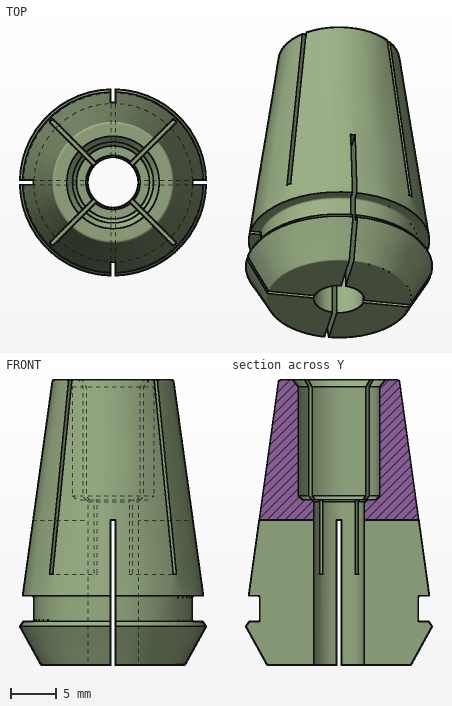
import cadquery as cq

length = 31.5
flange_edge_z = 4.28
flange_top_z = 4.82
groove_top_z = 7.65
shelf_z = 18.27

nose_radius = 7.95
flange_radius = 10.3
flange_top_radius = 9.9
groove_radius = 8.75
cone_base_radius = 10.0
cone_top_radius = 6.68

nose_round = 0.2
groove_round = 0.2
top_round = 0.28

hole_radius = 5.55 / 2
hole_chamfer = 0.22
bore_radius = 4.47
bore_foot_radius = 4.03
bore_foot_height = 0.45
mouth_radius = 5.1
mouth_depth = 0.8

slot_width = 0.5
slot_span = 4 * flange_radius
lower_slot_top_z = 16.0
upper_slot_floor_z = 10.02
quarter_turn = 90


def rings_at(z, reach):
    """Select the circular edges at one level that lie within a given reach of the axis."""
    tolerance = 0.003
    return cq.selectors.BoxSelector(
        (-reach, -reach, z - tolerance), (reach, reach, z + tolerance), boundingbox=True
    )


def outer_body():
    """Solid of revolution: nose, flange, groove and long cone."""
    profile = [
        (0, 0),
        (nose_radius, 0),
        (flange_radius, flange_edge_z),
        (flange_top_radius, flange_top_z),
        (groove_radius, flange_top_z),
        (groove_radius, groove_top_z),
        (cone_base_radius, groove_top_z),
        (cone_top_radius, length),
        (0, length),
    ]
    body = cq.Workplane("XZ").polyline(profile).close().revolve(360, (0, 0), (0, 1))
    body = body.edges(rings_at(0, flange_radius)).fillet(nose_round)
    body = body.edges(rings_at(length, flange_radius)).fillet(top_round)
    corner_reach = (groove_radius + flange_top_radius) / 2
    for z in (flange_top_z, groove_top_z):
        body = body.edges(rings_at(z, corner_reach)).fillet(groove_round)
    return body


def stepped_bore():
    """Through hole opening into a wider bore with a flared mouth."""
    profile = [
        (0, 0),
        (hole_radius, 0),
        (hole_radius, shelf_z - hole_chamfer),
        (hole_radius + hole_chamfer, shelf_z),
        (bore_foot_radius, shelf_z),
        (bore_radius, shelf_z + bore_foot_height),
        (bore_radius, length - mouth_depth),
        (mouth_radius, length),
        (0, length),
    ]
    return cq.Workplane("XZ").polyline(profile).close().revolve(360, (0, 0), (0, 1))


def crossed_slots(bottom_z, top_z, first_angle):
    """Two slots crossing at right angles, right through the part."""
    height = top_z - bottom_z
    slot = (
        cq.Workplane("XY", origin=(0, 0, bottom_z))
        .box(slot_span, slot_width, height, centered=(True, True, False))
        .rotate((0, 0, 0), (0, 0, 1), first_angle)
    )
    return slot.union(slot.rotate((0, 0, 0), (0, 0, 1), quarter_turn))


result = (
    outer_body()
    .cut(stepped_bore())
    .cut(crossed_slots(0, lower_slot_top_z, 0))
    .cut(crossed_slots(upper_slot_floor_z, length, quarter_turn / 2))
)